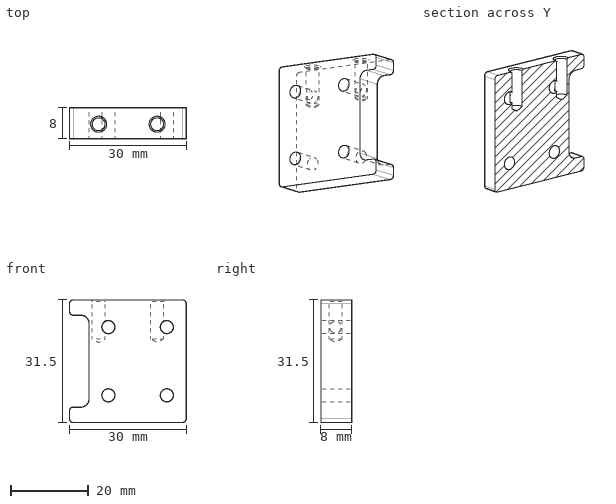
import cadquery as cq
import math

WIDTH = 30.0
THICKNESS = 8.0
HEIGHT = 31.5
CORNER_RADIUS = 1.0

RECESS_DEPTH = 5.0
ARM_HEIGHT = 4.0
RECESS_RADIUS = 2.0

MOUNT_DIAMETER = 3.3
MOUNT_SPACING_X = 15.0
MOUNT_SPACING_Z = 17.5
MOUNT_CENTRE_X = 2.5

TOP_DIAMETER = 3.3
TOP_MOUTH_DIAMETER = 4.1
TOP_SPACING = 15.0
TOP_CENTRE_Y = -0.25
TOP_DEPTH = 10.0
DRILL_POINT_ANGLE = 118.0

LEFT = -WIDTH / 2
TOP = HEIGHT / 2


def make_recess():
    """Block that opens the left edge, with its two inner corners rounded."""
    recess_height = HEIGHT - 2 * ARM_HEIGHT
    recess = cq.Workplane("XY").box(2 * RECESS_DEPTH, THICKNESS, recess_height)
    recess = recess.edges("|Y and >X").fillet(RECESS_RADIUS)
    return recess.translate((LEFT, 0, 0))


def make_plate():
    """Recessed plate with its outer corners and arm tips rounded."""
    plate = cq.Workplane("XY").box(WIDTH, THICKNESS, HEIGHT).cut(make_recess())
    return plate.edges("|Y").edges("<X or >X").fillet(CORNER_RADIUS)


def make_mount_holes():
    """Cylinders for the four through holes."""
    return (
        cq.Workplane("XZ")
        .center(MOUNT_CENTRE_X, 0)
        .rarray(MOUNT_SPACING_X, MOUNT_SPACING_Z, 2, 2)
        .circle(MOUNT_DIAMETER / 2)
        .extrude(THICKNESS, both=True)
    )


def make_top_hole(x):
    """Blind hole down from the top edge, with a 45 degree mouth and a conical drill point."""
    radius = TOP_DIAMETER / 2
    mouth_radius = TOP_MOUTH_DIAMETER / 2
    mouth_depth = mouth_radius - radius
    point_depth = radius / math.tan(math.radians(DRILL_POINT_ANGLE / 2))
    profile = [
        (0, 0),
        (mouth_radius, 0),
        (radius, -mouth_depth),
        (radius, -TOP_DEPTH),
        (0, -TOP_DEPTH - point_depth),
    ]
    hole = cq.Workplane("XZ").polyline(profile).close().revolve(360, (0, 0), (0, 1))
    return hole.translate((x, TOP_CENTRE_Y, TOP))


result = make_plate().cut(make_mount_holes())
for hole_x in (-TOP_SPACING / 2, TOP_SPACING / 2):
    result = result.cut(make_top_hole(hole_x))